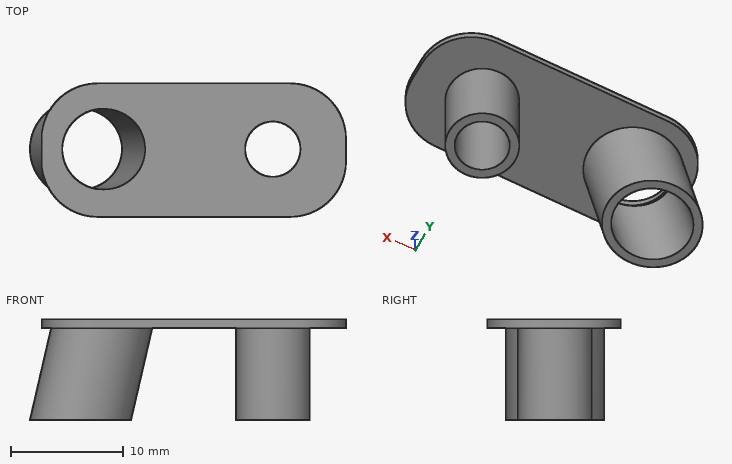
import cadquery as cq
import math

total_length = 28.2
total_height = 9.0
plate_length = 27.15
plate_width = 11.93
plate_thickness = 0.8
corner_radius = 5.0
plate_bottom = total_height - plate_thickness

tilt_angle = 13.0
tilted_outer_diameter = 8.8
tilted_bore_diameter = 7.2
tilt = math.radians(tilt_angle)
tilted_foot_x = tilted_outer_diameter / 2 / math.cos(tilt)

tube_y = 0.08

upright_x = 21.65
upright_outer_diameter = 6.6
upright_bore_diameter = 4.9


def tilted_cylinder(diameter, bottom, top):
    """Cylinder along the tilted axis, cut level at the bottom and top heights."""
    overrun = diameter
    axis = cq.Vector(math.sin(tilt), 0, math.cos(tilt))
    start = cq.Vector(tilted_foot_x, tube_y, 0) - axis * overrun
    length = total_height / math.cos(tilt) + 2 * overrun
    cylinder = cq.Workplane(cq.Solid.makeCylinder(diameter / 2, length, start, axis))
    slab = (
        cq.Workplane("XY", origin=(0, 0, bottom))
        .rect(4 * total_length, 4 * total_length)
        .extrude(top - bottom)
    )
    return cylinder.intersect(slab)


def upright_cylinder(diameter, height):
    return cq.Workplane("XY").center(upright_x, tube_y).circle(diameter / 2).extrude(height)


plate = (
    cq.Workplane("XY", origin=(total_length - plate_length / 2, 0, plate_bottom))
    .rect(plate_length, plate_width)
    .extrude(plate_thickness)
    .edges("|Z")
    .fillet(corner_radius)
)

outside = (
    plate
    .union(tilted_cylinder(tilted_outer_diameter, 0, plate_bottom))
    .union(upright_cylinder(upright_outer_diameter, plate_bottom))
)

mouth_x = tilted_foot_x + total_height * math.tan(tilt)
mouth_outline = (
    cq.Workplane("XY", origin=(mouth_x, tube_y, plate_bottom))
    .ellipse(tilted_bore_diameter / 2 / math.cos(tilt), tilted_bore_diameter / 2)
    .extrude(plate_thickness)
)
plate_bore = tilted_cylinder(tilted_bore_diameter, plate_bottom, total_height).intersect(mouth_outline)

result = (
    outside
    .cut(tilted_cylinder(tilted_bore_diameter, 0, plate_bottom))
    .cut(plate_bore)
    .cut(upright_cylinder(upright_bore_diameter, total_height))
)